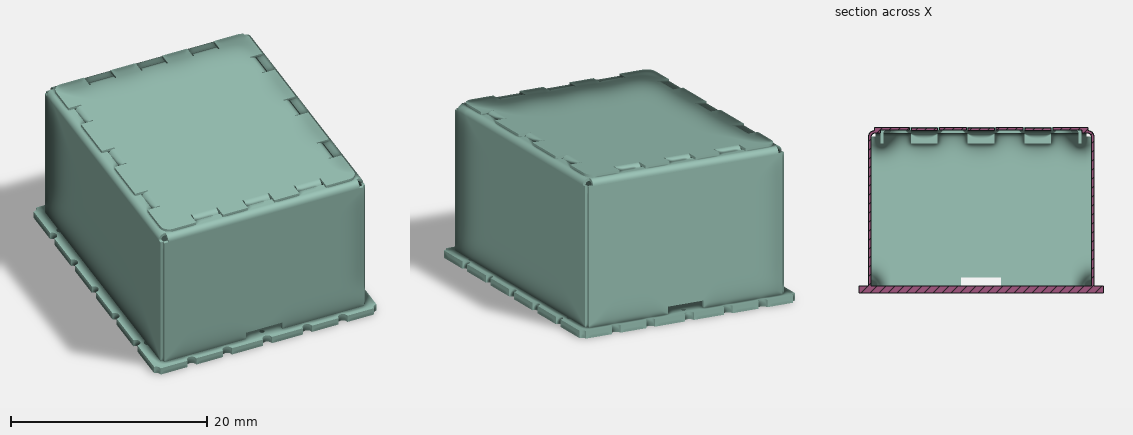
import cadquery as cq
import math

BOARD_X = 30.0
BOARD_Y = 25.0
BOARD_T = 0.8
NOTCH_R = 0.5
X_NOTCH_PITCH = 5.0
Y_NOTCHES = (-8.5, -4.5, 0.0, 4.5, 8.5)
MOUNT_HOLE_D = 0.8
MOUNT_HOLE_X = 10.5
VIA_D = 0.5
VIA_X = 13.7

TOTAL_H = 16.91
SHEET_T = 0.3
COVER_X = 28.4
COVER_Y = 23.0
COVER_TOP = TOTAL_H - SHEET_T
BEND_R = 0.65
BEND_START = COVER_TOP - BEND_R
CORNER_GROOVE = 0.28
RELIEF = 0.75
WINDOW_W = 4.1
WINDOW_H = 0.8

LID_X = 27.0
LID_Y = 21.8
LID_CORNER_R = 1.0
TONGUE_INSET = 0.65
SLOT_W = 3.0
SLOT_DEPTH = 1.4
TONGUE_GAP = 0.15
TONGUE_W = SLOT_W - 2 * TONGUE_GAP
TONGUE_LEG = 1.0
X_SLOT_PITCH = 8.0
Y_SLOT_PITCH = 5.8


def block(size_x, size_y, z_low, z_high):
    """Centred rectangular block between two heights."""
    return cq.Workplane("XY").box(
        size_x, size_y, z_high - z_low, centered=(True, True, False)
    ).translate((0, 0, z_low))


def corner_points(size_x, size_y):
    """The four corners of a centred rectangle."""
    return [(sx * size_x / 2, sy * size_y / 2) for sx in (-1, 1) for sy in (-1, 1)]


def make_board():
    notches = corner_points(BOARD_X, BOARD_Y)
    for side in (-1, 1):
        notches += [(i * X_NOTCH_PITCH, side * BOARD_Y / 2) for i in range(-2, 3)]
        notches += [(side * BOARD_X / 2, y) for y in Y_NOTCHES]
    mount_holes = corner_points(2 * MOUNT_HOLE_X, COVER_Y - SHEET_T)
    vias = [(-VIA_X, 0), (VIA_X, 0)]

    board = block(BOARD_X, BOARD_Y, 0, BOARD_T)
    for points, radius in ((notches, NOTCH_R), (mount_holes, MOUNT_HOLE_D / 2), (vias, VIA_D / 2)):
        board = board.cut(cq.Workplane("XY").pushPoints(points).circle(radius).extrude(BOARD_T))
    return board


def make_cover():
    outer = block(COVER_X, COVER_Y, BOARD_T, COVER_TOP).faces(">Z").edges().fillet(BEND_R)
    inner = block(COVER_X - 2 * SHEET_T, COVER_Y - 2 * SHEET_T, BOARD_T, COVER_TOP - SHEET_T)
    inner = inner.faces(">Z").edges().fillet(BEND_R - SHEET_T)
    opening = block(LID_X - 2 * TONGUE_INSET, LID_Y - 2 * TONGUE_INSET, BOARD_T, COVER_TOP)
    window = block(COVER_X, WINDOW_W, BOARD_T, BOARD_T + WINDOW_H)
    cover = outer.cut(inner).cut(opening).cut(window)

    corners = cq.Workplane("XY").pushPoints(corner_points(COVER_X, COVER_Y))
    grooves = corners.rect(2 * CORNER_GROOVE, 2 * CORNER_GROOVE).extrude(COVER_TOP)
    reliefs = corners.rect(2 * RELIEF, 2 * RELIEF).extrude(BEND_R).translate((0, 0, BEND_START))
    return cover.cut(grooves).cut(reliefs)


def make_slot():
    """Cutter for one slot; the lid edge is at local x = 0, inward is +x."""
    return cq.Workplane("XY").box(
        SLOT_DEPTH, SLOT_W, SHEET_T, centered=(False, True, False)
    ).translate((0, 0, COVER_TOP))


def make_tongue():
    """Tongue bent down from the inner end of a slot, in the slot's local frame."""
    bend_end = TONGUE_INSET + BEND_R
    bend_z = TOTAL_H - BEND_R
    tip_z = bend_z - TONGUE_LEG
    inner_r = BEND_R - SHEET_T
    mid = math.sqrt(0.5)
    return (
        cq.Workplane("XZ", origin=(0, TONGUE_W / 2, 0))
        .moveTo(SLOT_DEPTH, TOTAL_H)
        .lineTo(bend_end, TOTAL_H)
        .threePointArc((bend_end - BEND_R * mid, bend_z + BEND_R * mid), (TONGUE_INSET, bend_z))
        .lineTo(TONGUE_INSET, tip_z)
        .lineTo(TONGUE_INSET + SHEET_T, tip_z)
        .lineTo(TONGUE_INSET + SHEET_T, bend_z)
        .threePointArc((bend_end - inner_r * mid, bend_z + inner_r * mid), (bend_end, COVER_TOP))
        .lineTo(SLOT_DEPTH, COVER_TOP)
        .close()
        .extrude(TONGUE_W)
    )


def make_lid():
    lid = block(LID_X, LID_Y, COVER_TOP, TOTAL_H).edges("|Z").fillet(LID_CORNER_R)
    sides = (
        (0, LID_X / 2, Y_SLOT_PITCH),
        (90, LID_Y / 2, X_SLOT_PITCH),
        (180, LID_X / 2, Y_SLOT_PITCH),
        (270, LID_Y / 2, X_SLOT_PITCH),
    )
    for turn, edge, pitch in sides:
        for i in (-1, 0, 1):
            move = (-edge, i * pitch, 0)
            slot = make_slot().translate(move).rotate((0, 0, 0), (0, 0, 1), turn)
            tongue = make_tongue().translate(move).rotate((0, 0, 0), (0, 0, 1), turn)
            lid = lid.cut(slot).union(tongue)
    return lid


result = make_board().union(make_cover()).union(make_lid())